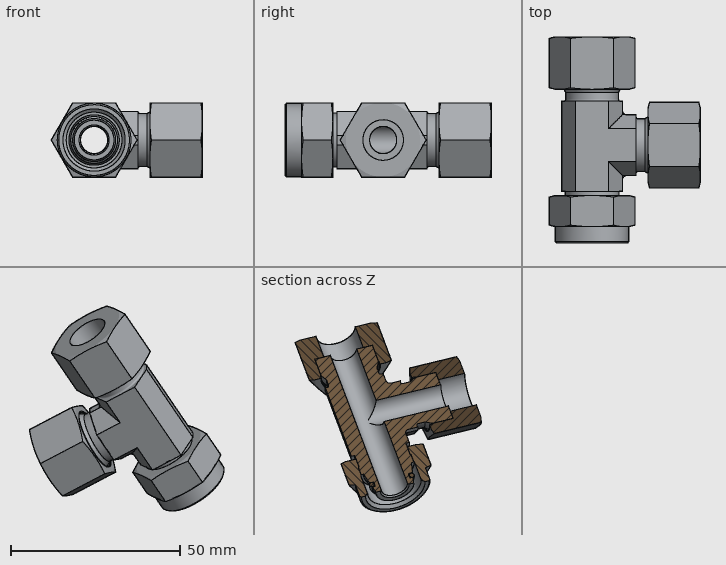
import cadquery as cq
import math


ARM_ACROSS_FLATS = 17.0
ARM_HALF_WIDTH = 9.0
SHOULDER = 13.0
SWIVEL_SHOULDER = 13.7
CROTCH_RADIUS = 1.2
BORE_RADIUS = 4.0

THREAD_RADIUS = 9.0
RELIEF_RADIUS = 7.85
RELIEF_FILLET = 0.5
RELIEF_CONE_START = 15.6
RELIEF_CONE_ANGLE = 30.0
THREAD_END = 24.0

NECK_RADIUS = 8.0
COLLAR_START = 18.0
CONE_TIP = 28.5
CONE_TIP_RADIUS = 5.87
CONE_BASE_RADIUS = 7.45
CONE_HALF_ANGLE = 12.0
TIP_BORE_CHAMFER = 0.45

RING_SECTION_RADIUS = 0.75
RING_OUTER_RADIUS = 6.93
GROOVE_SETBACK = 2.3

NUT_ACROSS_FLATS = 22.0
NUT_CHAMFER_ANGLE = 15.0

NUT_START = 16.5
NUT_END = 32.0
NUT_MOUTH_RADIUS = 9.25
TUBE_HOLE_RADIUS = 6.0

SWIVEL_START = 14.9
SWIVEL_HEX_END = 24.1
SWIVEL_END = 29.0
RIM_RADIUS = 10.9
RIM_CHAMFER = 0.45
SWIVEL_THREAD_RADIUS = 8.25
SWIVEL_MOUTH_RADIUS = 9.2


def tan_deg(angle):
    return math.tan(math.radians(angle))


TO_RUN = 0
TO_BRANCH = -90
TO_SWIVEL = 180


def place(arm, turn):
    return arm.rotate((0, 0, 0), (0, 0, 1), turn)


def revolve_about_y(profile):
    """Turn a closed (radius, distance along Y) profile around the Y axis."""
    return cq.Workplane("XY").polyline(profile).close().revolve(360, (0, 0, 0), (0, 1, 0))


def cylinder(radius, start, end):
    return cq.Workplane("XZ", origin=(0, start, 0)).circle(radius).extrude(start - end)


def hex_prism(across_flats, start, end):
    """Hexagonal bar along Y with flats at the top and bottom."""
    corner_diameter = across_flats / math.cos(math.pi / 6)
    return cq.Workplane("XZ", origin=(0, start, 0)).polygon(6, corner_diameter).extrude(start - end)


def chamfered_hex(start, end):
    """Nut hexagon with its corners turned down at both ends."""
    flat_radius = NUT_ACROSS_FLATS / 2
    outer_radius = NUT_ACROSS_FLATS / math.sqrt(3)
    drop = (outer_radius - flat_radius) * tan_deg(NUT_CHAMFER_ANGLE)
    turned = revolve_about_y([
        (0, start),
        (flat_radius, start),
        (outer_radius, start + drop),
        (outer_radius, end - drop),
        (flat_radius, end),
        (0, end),
    ])
    return hex_prism(NUT_ACROSS_FLATS, start, end).intersect(turned)


def arm_block(start, end):
    height = 2 * ARM_ACROSS_FLATS
    side_cut = cq.Workplane("XY").box(2 * ARM_HALF_WIDTH, 4 * end, height)
    return hex_prism(ARM_ACROSS_FLATS, start, end).intersect(side_cut)


def crotch_fillets():
    """Concave fillets joining the side flats where the branch leaves the run."""
    flat_height = 2 * (ARM_ACROSS_FLATS - math.sqrt(3) * ARM_HALF_WIDTH)
    inner = ARM_HALF_WIDTH
    outer = inner + CROTCH_RADIUS
    fillet = (
        cq.Workplane("XY", origin=(0, 0, -flat_height / 2))
        .moveTo(inner, inner)
        .lineTo(outer, inner)
        .radiusArc((inner, outer), CROTCH_RADIUS)
        .close()
        .extrude(flat_height)
    )
    return fillet.union(fillet.mirror("XZ"))


def threaded_end():
    fillet_top = SHOULDER + RELIEF_FILLET
    fillet_mid = RELIEF_FILLET * (1 - math.sqrt(0.5))
    cone_end = RELIEF_CONE_START + (THREAD_RADIUS - RELIEF_RADIUS) / tan_deg(RELIEF_CONE_ANGLE)
    return (
        cq.Workplane("XY")
        .moveTo(0, SHOULDER)
        .lineTo(RELIEF_RADIUS + RELIEF_FILLET, SHOULDER)
        .threePointArc((RELIEF_RADIUS + fillet_mid, SHOULDER + fillet_mid), (RELIEF_RADIUS, fillet_top))
        .lineTo(RELIEF_RADIUS, RELIEF_CONE_START)
        .lineTo(THREAD_RADIUS, cone_end)
        .lineTo(THREAD_RADIUS, THREAD_END)
        .lineTo(0, THREAD_END)
        .close()
        .revolve(360, (0, 0, 0), (0, 1, 0))
    )


RING_CENTRE_RADIUS = RING_OUTER_RADIUS - RING_SECTION_RADIUS
RING_CENTRE = CONE_TIP - GROOVE_SETBACK - RING_SECTION_RADIUS
CONE_BASE = CONE_TIP - (CONE_BASE_RADIUS - CONE_TIP_RADIUS) / tan_deg(CONE_HALF_ANGLE)


def cone_end():
    cone = revolve_about_y([
        (0, SWIVEL_SHOULDER),
        (NECK_RADIUS, SWIVEL_SHOULDER),
        (NECK_RADIUS, COLLAR_START),
        (SWIVEL_THREAD_RADIUS, COLLAR_START),
        (SWIVEL_THREAD_RADIUS, CONE_BASE),
        (CONE_BASE_RADIUS, CONE_BASE),
        (CONE_TIP_RADIUS, CONE_TIP),
        (0, CONE_TIP),
    ])
    groove_start = RING_CENTRE - RING_SECTION_RADIUS
    groove_end = RING_CENTRE + RING_SECTION_RADIUS
    groove_floor = RING_CENTRE_RADIUS - RING_SECTION_RADIUS
    groove = cylinder(NECK_RADIUS, groove_start, groove_end).cut(
        cylinder(groove_floor, groove_start, groove_end)
    )
    return cone.cut(groove)


def bores():
    run_bore = cylinder(BORE_RADIUS, -CONE_TIP, THREAD_END)
    branch_bore = place(cylinder(BORE_RADIUS, 0, THREAD_END), TO_BRANCH)
    tip_chamfer = revolve_about_y([
        (0, CONE_TIP - TIP_BORE_CHAMFER),
        (BORE_RADIUS, CONE_TIP - TIP_BORE_CHAMFER),
        (BORE_RADIUS + TIP_BORE_CHAMFER, CONE_TIP),
        (0, CONE_TIP),
    ])
    return run_bore.union(branch_bore).union(place(tip_chamfer, TO_SWIVEL))


def make_tee():
    tee = arm_block(-SWIVEL_SHOULDER, SHOULDER)
    tee = tee.union(place(arm_block(0, SHOULDER), TO_BRANCH))
    tee = tee.union(crotch_fillets())
    for turn in (TO_RUN, TO_BRANCH):
        tee = tee.union(place(threaded_end(), turn))
    tee = tee.union(place(cone_end(), TO_SWIVEL))
    return tee.cut(bores())


def make_compression_nut(turn):
    mouth_depth = NUT_MOUTH_RADIUS - THREAD_RADIUS
    opening = revolve_about_y([
        (0, NUT_START),
        (NUT_MOUTH_RADIUS, NUT_START),
        (THREAD_RADIUS, NUT_START + mouth_depth),
        (THREAD_RADIUS, THREAD_END),
        (TUBE_HOLE_RADIUS, THREAD_END),
        (TUBE_HOLE_RADIUS, NUT_END),
        (0, NUT_END),
    ])
    return place(chamfered_hex(NUT_START, NUT_END).cut(opening), turn)


def make_swivel_nut():
    rim = cylinder(RIM_RADIUS, SWIVEL_START, SWIVEL_END).faces(">Y").chamfer(RIM_CHAMFER)
    mouth_depth = SWIVEL_MOUTH_RADIUS - SWIVEL_THREAD_RADIUS
    opening = revolve_about_y([
        (0, SWIVEL_START),
        (NECK_RADIUS, SWIVEL_START),
        (NECK_RADIUS, COLLAR_START),
        (SWIVEL_THREAD_RADIUS, COLLAR_START),
        (SWIVEL_THREAD_RADIUS, SWIVEL_END - mouth_depth),
        (SWIVEL_MOUTH_RADIUS, SWIVEL_END),
        (0, SWIVEL_END),
    ])
    nut = chamfered_hex(SWIVEL_START, SWIVEL_HEX_END).union(rim).cut(opening)
    return place(nut, TO_SWIVEL)


def make_o_ring():
    ring = (
        cq.Workplane("XY")
        .center(RING_CENTRE_RADIUS, RING_CENTRE)
        .circle(RING_SECTION_RADIUS)
        .revolve(360, (-RING_CENTRE_RADIUS, 0, 0), (-RING_CENTRE_RADIUS, 1, 0))
    )
    return place(ring, TO_SWIVEL)


tee = make_tee()
compression_nuts = [make_compression_nut(turn) for turn in (TO_RUN, TO_BRANCH)]
swivel_nut = make_swivel_nut()
o_ring = make_o_ring()

result = cq.Compound.makeCompound([
    tee.val(),
    *[nut.val() for nut in compression_nuts],
    swivel_nut.val(),
    o_ring.val(),
])